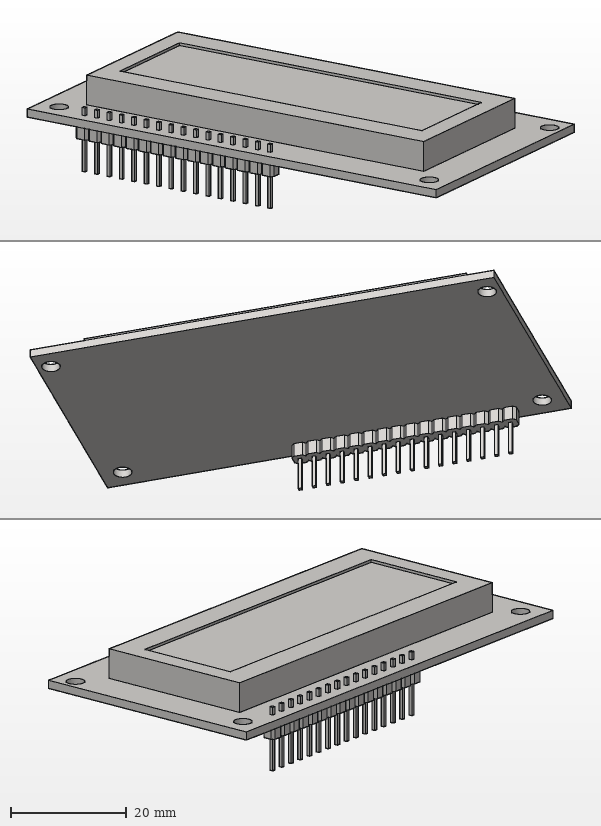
import cadquery as cq


board_length = 84.0
board_width = 44.0
board_thickness = 1.5

hole_diameter = 3.2
hole_edge_y = 4.0
rear_hole_edge_x = 2.5
front_hole_edge_x = 4.0

bezel_length = 69.2
bezel_width = 29.0
bezel_height = 5.4
window_length = 62.0
window_width = 19.0
window_depth = 0.5

pin_count = 16
pin_pitch = 2.54
pin_size = 0.62
pin_tip_height = 1.4
pin_tail_length = 6.1
first_pin_edge_x = 10.2
pin_row_edge_y = 2.5
header_height = 2.6
header_corner_cut = 0.5

first_pin_x = first_pin_edge_x - board_length / 2
pin_row_y = pin_row_edge_y - board_width / 2
pin_positions = [(first_pin_x + i * pin_pitch, pin_row_y) for i in range(pin_count)]


def make_board():
    """Flat board with four holes; the rear pair is set further apart than the front pair."""
    rear_x = board_length / 2 - rear_hole_edge_x
    front_x = board_length / 2 - front_hole_edge_x
    hole_y = board_width / 2 - hole_edge_y
    hole_centres = [(-rear_x, hole_y), (rear_x, hole_y), (-front_x, -hole_y), (front_x, -hole_y)]
    board = cq.Workplane("XY").rect(board_length, board_width).extrude(board_thickness)
    holes = (
        cq.Workplane("XY")
        .pushPoints(hole_centres)
        .circle(hole_diameter / 2)
        .extrude(board_thickness)
    )
    return board.cut(holes)


def make_bezel():
    """Rectangular frame block on the board with a shallow window in its top."""
    bezel_top = board_thickness + bezel_height
    block = (
        cq.Workplane("XY")
        .workplane(offset=board_thickness)
        .rect(bezel_length, bezel_width)
        .extrude(bezel_height)
    )
    window = (
        cq.Workplane("XY")
        .workplane(offset=bezel_top)
        .rect(window_length, window_width)
        .extrude(-window_depth)
    )
    return block.cut(window)


def make_header():
    """Strip of touching eight-sided blocks under the board, one for each pin."""
    block = (
        cq.Workplane("XY")
        .rect(pin_pitch, pin_pitch)
        .extrude(-header_height)
        .edges("|Z")
        .chamfer(header_corner_cut)
        .val()
    )
    return cq.Workplane("XY").pushPoints(pin_positions).eachpoint(block.moved).combine()


def make_pins():
    """Square pins running from below the header to just above the board."""
    pin_bottom = -header_height - pin_tail_length
    pin_top = board_thickness + pin_tip_height
    return (
        cq.Workplane("XY")
        .workplane(offset=pin_bottom)
        .pushPoints(pin_positions)
        .rect(pin_size, pin_size)
        .extrude(pin_top - pin_bottom)
    )


result = make_board().union(make_bezel()).union(make_header()).union(make_pins())